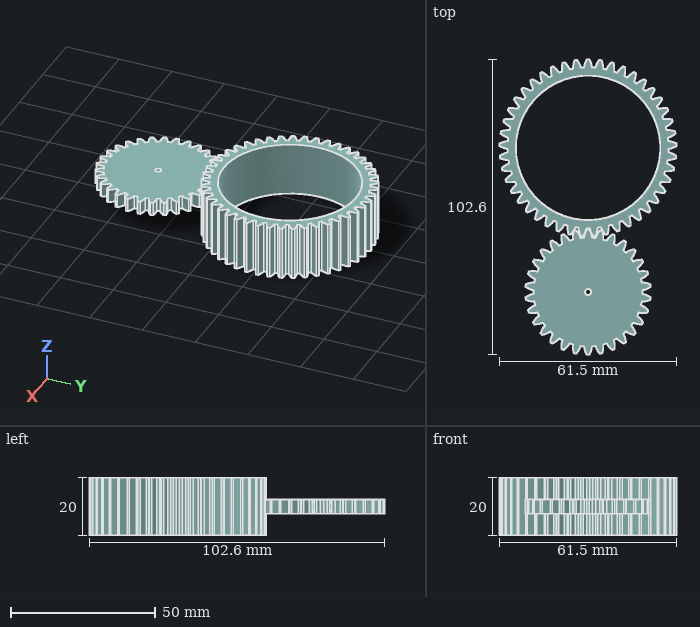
import cadquery as cq
import math

pressure_angle = math.radians(22)
flank_point_count = 5
first_tooth_angle = math.radians(90)

ring_teeth = 45
ring_tip_diameter = 61.5
ring_root_diameter = 55.86
ring_width = 20.0
ring_bore_diameter = 50.0

pinion_teeth = 30
pinion_tip_diameter = 43.6
pinion_root_diameter = 37.9
pinion_width = 5.0
pinion_bore_diameter = 2.0
centre_distance = 50.0


def polar(radius, angle):
    return (radius * math.cos(angle), radius * math.sin(angle))


def involute(angle):
    return math.tan(angle) - angle


def gear(teeth, tip_diameter, root_diameter, width, bore_diameter):
    """External spur gear with a bore, around the Z axis and centred on Z = 0."""
    module = tip_diameter / (teeth + 2)
    pitch_radius = module * teeth / 2
    base_radius = pitch_radius * math.cos(pressure_angle)
    tip_radius = tip_diameter / 2
    root_radius = root_diameter / 2
    flank_start_radius = max(base_radius, root_radius)
    tooth_pitch = 2 * math.pi / teeth

    def half_angle(radius):
        """Half of the angle that a tooth spans at a radius on its involute flank."""
        pressure_here = math.acos(base_radius / radius)
        return tooth_pitch / 4 + involute(pressure_angle) - involute(pressure_here)

    flank_step = (tip_radius - flank_start_radius) / (flank_point_count - 1)
    flank_radii = [flank_start_radius + i * flank_step for i in range(flank_point_count)]
    root_half_angle = half_angle(flank_start_radius)
    has_radial_foot = flank_start_radius > root_radius

    outline = cq.Workplane("XY", origin=(0, 0, -width / 2))
    outline = outline.moveTo(*polar(root_radius, first_tooth_angle - root_half_angle))
    for tooth in range(teeth):
        centre = first_tooth_angle + tooth * tooth_pitch
        rising = [polar(r, centre - half_angle(r)) for r in flank_radii]
        falling = [polar(r, centre + half_angle(r)) for r in reversed(flank_radii)]
        if has_radial_foot:
            outline = outline.lineTo(*rising[0])
        outline = outline.spline(rising[1:], includeCurrent=True)
        outline = outline.threePointArc(polar(tip_radius, centre), falling[0])
        outline = outline.spline(falling[1:], includeCurrent=True)
        if has_radial_foot:
            outline = outline.lineTo(*polar(root_radius, centre + root_half_angle))
        outline = outline.threePointArc(
            polar(root_radius, centre + tooth_pitch / 2),
            polar(root_radius, centre + tooth_pitch - root_half_angle),
        )
    blank = outline.close().extrude(width)
    return blank.faces(">Z").workplane(origin=(0, 0, 0)).hole(bore_diameter)


def make_ring_gear():
    return gear(ring_teeth, ring_tip_diameter, ring_root_diameter, ring_width, ring_bore_diameter)


def make_pinion():
    pinion_at_origin = gear(
        pinion_teeth, pinion_tip_diameter, pinion_root_diameter, pinion_width, pinion_bore_diameter
    )
    return pinion_at_origin.translate((0, -centre_distance, 0))


ring_gear = make_ring_gear()
pinion = make_pinion()

result = cq.Compound.makeCompound([ring_gear.val(), pinion.val()])